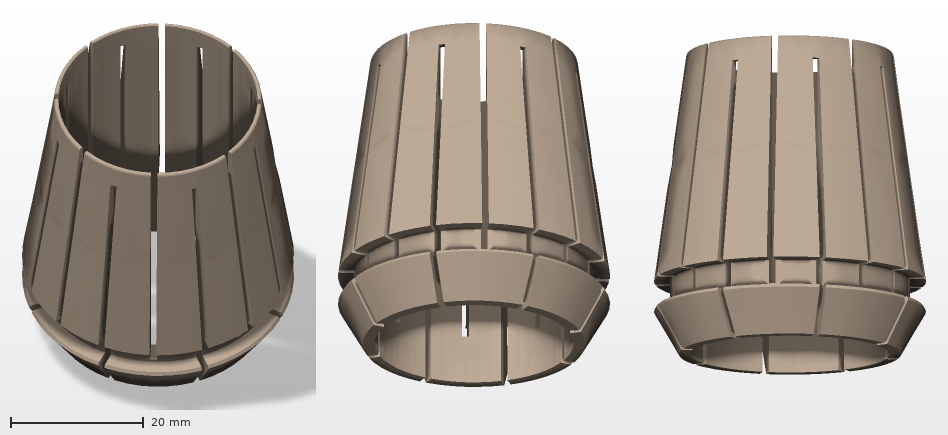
import cadquery as cq
import math

height = 46.0
bore_diameter = 30.0
major_radius = 20.5

groove_top_z = 11.1
taper_half_angle = 8.0
rim_round_radius = 0.48
mouth_inner_chamfer = 0.15

groove_bottom_z = 7.0
groove_radius = 18.1
groove_corner_radius = 0.15
nose_half_angle = 30.0
flange_edge_z = 6.5
flange_edge_radius = 20.5
flange_chamfer = 0.3

slot_width = 1.0
slots_per_end = 8
nose_slot_top_z = 42.5
mouth_slot_bottom_z = 7.5

bore_radius = bore_diameter / 2
taper_angle = math.radians(taper_half_angle)
nose_radius = flange_edge_radius - flange_edge_z * math.tan(math.radians(nose_half_angle))
slot_pitch = 360.0 / slots_per_end


def make_body():
    """Revolve the sleeve section: nose cone, flange, groove, taper and rounded rim around the bore."""
    corner = groove_corner_radius
    corner_mid = corner * (1 - math.sqrt(0.5))
    round_center_z = height - rim_round_radius
    taper_radius = major_radius - (round_center_z - groove_top_z) * math.tan(taper_angle)
    round_center_radius = taper_radius - rim_round_radius / math.cos(taper_angle)

    def rim_point(angle):
        return (
            round_center_radius + rim_round_radius * math.cos(angle),
            round_center_z + rim_round_radius * math.sin(angle),
        )

    mid_angle = (taper_angle + math.pi / 2) / 2
    section = (
        cq.Workplane("XZ")
        .moveTo(bore_radius, 0)
        .lineTo(nose_radius, 0)
        .lineTo(flange_edge_radius, flange_edge_z)
        .lineTo(flange_edge_radius - flange_chamfer, groove_bottom_z)
        .lineTo(groove_radius + corner, groove_bottom_z)
        .threePointArc(
            (groove_radius + corner_mid, groove_bottom_z + corner_mid),
            (groove_radius, groove_bottom_z + corner),
        )
        .lineTo(groove_radius, groove_top_z - corner)
        .threePointArc(
            (groove_radius + corner_mid, groove_top_z - corner_mid),
            (groove_radius + corner, groove_top_z),
        )
        .lineTo(major_radius, groove_top_z)
        .lineTo(*rim_point(taper_angle))
        .threePointArc(rim_point(mid_angle), rim_point(math.pi / 2))
        .lineTo(bore_radius + mouth_inner_chamfer, height)
        .lineTo(bore_radius, height - mouth_inner_chamfer)
        .close()
    )
    return section.revolve(360, (0, 0), (0, 1))


def cut_slots(body, bottom_z, top_z, first_angle):
    """Cut equally spaced radial slots through the wall between two heights."""
    slot_length = major_radius * 2
    slot = cq.Workplane("XY").workplane(offset=bottom_z).center(slot_length / 2, 0)
    slot = slot.rect(slot_length, slot_width).extrude(top_z - bottom_z)
    for index in range(slots_per_end):
        angle = first_angle + index * slot_pitch
        body = body.cut(slot.rotate((0, 0, 0), (0, 0, 1), angle))
    return body


result = make_body()
result = cut_slots(result, 0, nose_slot_top_z, 0)
result = cut_slots(result, mouth_slot_bottom_z, height, slot_pitch / 2)